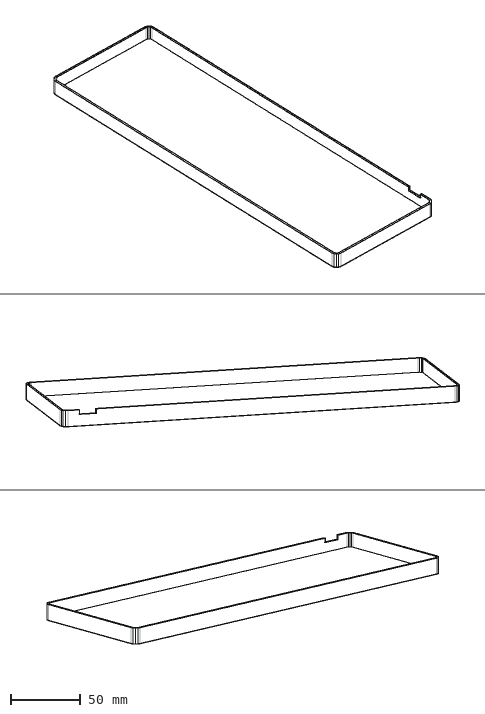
import cadquery as cq
import math

length = 297.2
width = 96.5
height = 12.0

wall = 1.5
floor = 1.5

corner_radius = 4.5
corner_facets = 4

notch_width = 12.5
notch_depth = 3.3
notch_end_gap = 13.0


def faceted_block(size_x, size_y, size_z, radius):
    """Block standing on Z = 0 whose vertical corners are cut into flat facets."""
    center_x = size_x / 2 - radius
    center_y = size_y / 2 - radius
    back_right = []
    for step in range(corner_facets + 1):
        angle = math.radians(90 * step / corner_facets)
        back_right.append((center_x + radius * math.cos(angle), center_y + radius * math.sin(angle)))
    back_left = [(-x, y) for x, y in reversed(back_right)]
    back_half = back_right + back_left
    front_half = [(-x, -y) for x, y in back_half]
    return cq.Workplane("XY").polyline(back_half + front_half).close().extrude(size_z)


def make_tray():
    """Open-topped tray with an even wall and faceted corners."""
    outside = faceted_block(length, width, height, corner_radius)
    inside = faceted_block(length - 2 * wall, width - 2 * wall, height, corner_radius - wall)
    return outside.cut(inside.translate((0, 0, floor)))


def make_notch():
    """Rectangular cutter that passes through the back wall only."""
    center_x = length / 2 - notch_end_gap - notch_width / 2
    cutter = cq.Workplane("XY").box(notch_width, 4 * wall, 2 * notch_depth)
    return cutter.translate((center_x, width / 2, height))


result = make_tray().cut(make_notch())